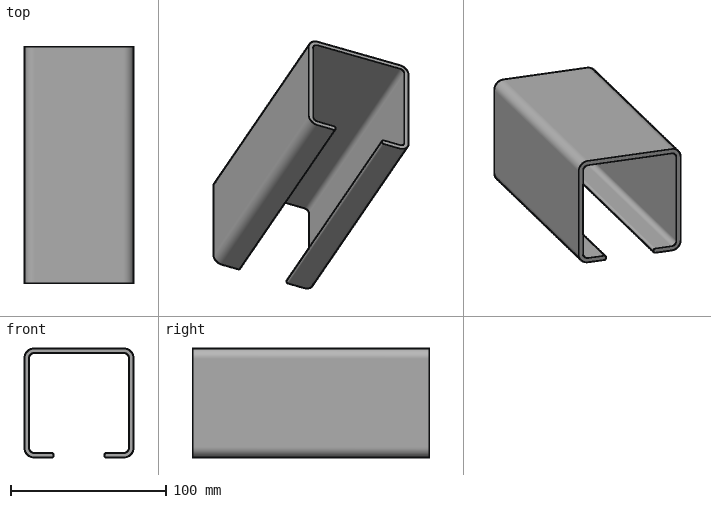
import cadquery as cq

length = 152.4
side = 70.4
wall = 3.0
outer_radius = 6.4
slot_width = 32.6
lip_edge_radius = 1.4

inner_side = side - 2 * wall
inner_radius = outer_radius - wall


def rounded_bar(size, radius):
    """Square bar along Y with rounded long edges."""
    return cq.Workplane("XY").box(size, length, size).edges("|Y").fillet(radius)


tube = rounded_bar(side, outer_radius).cut(rounded_bar(inner_side, inner_radius))

slot_height = 2 * wall
slot = cq.Workplane("XY").box(slot_width, length, slot_height).translate((0, 0, -side / 2 + wall / 2))
rail = tube.cut(slot)

lip_ends = cq.selectors.BoxSelector(
    (-slot_width / 2 - wall / 2, -length, -side),
    (slot_width / 2 + wall / 2, length, 0),
)
result = rail.edges("|Y").edges(lip_ends).fillet(lip_edge_radius)